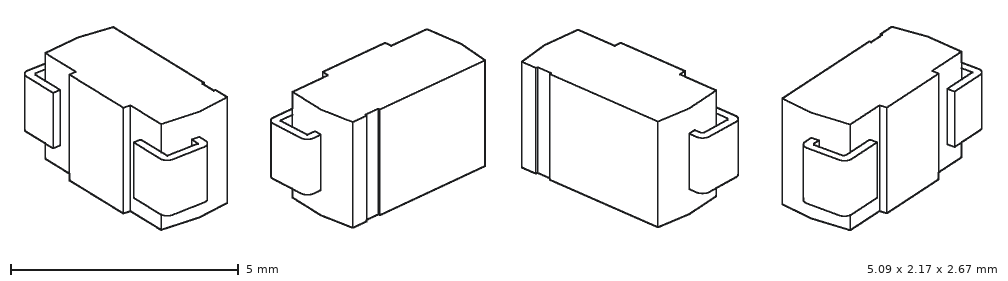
import cadquery as cq

length = 5.09
depth = 2.17
height = 2.67

half_length = length / 2
parting_half = half_length - 0.415
back_half = half_length - 0.54
front_half = half_length - 0.51
parting_level = 1.28
ledge_level = 0.275
pad_level = 0.085
pad_root_half = half_length - 1.585
pad_face_half = half_length - 1.6

groove_width = 0.4
groove_depth = 0.05
groove_center = half_length - 1.16

lead_width = 1.4
lead_thickness = 0.205
foot_length = 1.13
outer_bend = 0.2
left_inner_bend = 0.065
lead_embed = 0.205


def make_body():
    right_side = [
        (pad_face_half, pad_level),
        (pad_root_half, ledge_level),
        (front_half, ledge_level),
        (parting_half, parting_level),
        (back_half, depth),
    ]
    left_side = [(-x, y) for x, y in reversed(right_side)]
    profile = cq.Workplane("XY").polyline(right_side + left_side).close()
    return profile.extrude(height / 2, both=True)


def make_groove():
    groove = cq.Workplane("XY").box(groove_width, 2 * groove_depth, height)
    return groove.translate((groove_center, depth, 0))


def make_left_lead(inner_bend):
    """C-shaped lead; inner_bend = 0 leaves the inside corners sharp."""
    outer_x = -half_length
    inner_x = outer_x + lead_thickness
    foot_x = outer_x + foot_length
    arm_x = -parting_half + lead_embed
    profile = [
        (foot_x, 0),
        (outer_x, 0),
        (outer_x, parting_level),
        (arm_x, parting_level),
        (arm_x, parting_level - lead_thickness),
        (inner_x, parting_level - lead_thickness),
        (inner_x, lead_thickness),
        (foot_x, lead_thickness),
    ]
    lead = cq.Workplane("XY").polyline(profile).close().extrude(lead_width / 2, both=True)
    lead = lead.edges("|Z and <X").fillet(outer_bend)
    if inner_bend > 0:
        middle = parting_level / 2
        reach = middle - lead_thickness / 2
        margin = lead_thickness / 4
        corner_zone = cq.selectors.BoxSelector(
            (inner_x - margin, middle - reach, -height),
            (inner_x + margin, middle + reach, height),
        )
        lead = lead.edges("|Z").edges(corner_zone).fillet(inner_bend)
    return lead


left_lead = make_left_lead(left_inner_bend)
right_lead = make_left_lead(0).mirror("YZ")
result = make_body().cut(make_groove()).union(left_lead).union(right_lead)